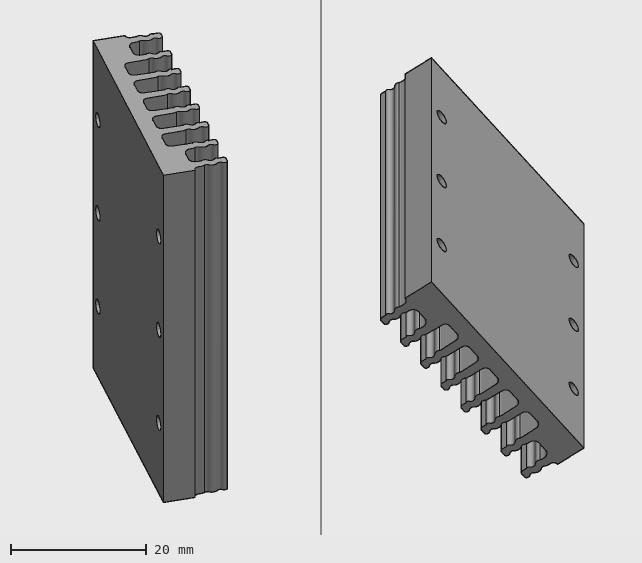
import cadquery as cq
import math

width = 37.35
depth = 10.15
length = 57.9

fin_count = 8
fin_span = 34.45
fin_pitch = fin_span / (fin_count - 1)

stem_half = 0.7
deep_root_half = 0.75
stem_top = 6.15

deep_floor = 2.6
deep_radius = 0.8
shallow_floor = 4.75
shallow_radius = 1.0
shoulder = 4.85
shoulder_radius = (width - fin_span) / 2 - stem_half

deep_gap = (deep_floor, deep_radius, deep_root_half)
shallow_gap = (shallow_floor, shallow_radius, stem_half)
outer_ledge = (shoulder, shoulder_radius, stem_half)

left_tip_half = 0.75
right_tip_half = stem_half
tip_radius = 0.4

left_groove = 0.4
left_flank_half = 0.65
left_lower_bulge = 0.85
left_upper_bulge = 0.8
left_lower_bulge_start = 6.5
left_lower_bulge_peak = 6.9
left_groove_bottom = 7.4
left_groove_middle = 7.9
left_groove_top = 8.4
left_upper_bulge_peak = 8.7
left_upper_bulge_end = 9.0

right_flank_half = 0.6
right_upper_groove = 0.4
right_bulge = 0.8
right_lower_groove = 0.45
right_tip_bulge_peak = 9.55
right_upper_groove_top = 9.3
right_upper_groove_middle = 8.9
right_bulge_top = 8.5
right_bulge_peak = 7.9
right_lower_groove_top = 7.2
right_lower_groove_middle = 6.9
right_lower_groove_bottom = 6.55

hole_diameter = 2.25
hole_depth = 3.5
hole_side_offset = 16.15
hole_spacing = 16.5
holes_per_side = 3


def quarter_round(outline, start, corner, end):
    """Round the square corner between start, where the outline is now, and end."""
    pull = 1 - math.cos(math.pi / 4)
    middle = tuple(c + pull * (s + e - 2 * c) for s, c, e in zip(start, corner, end))
    return outline.threePointArc(middle, end)


def left_side(outline, center, floor):
    """Climb the left side of a fin, from the floor to the tip."""
    height, radius, root_half = floor
    root = center - root_half
    flank = center - left_flank_half
    tip = center - left_tip_half

    fillet_start = (root - radius, height)
    outline = outline.lineTo(*fillet_start)
    outline = quarter_round(outline, fillet_start, (root, height), (root, height + radius))
    outline = outline.lineTo(center - stem_half, stem_top)

    outline = outline.lineTo(tip, left_lower_bulge_start)
    outline = outline.threePointArc(
        (center - left_lower_bulge, left_lower_bulge_peak), (flank, left_groove_bottom)
    )
    outline = outline.threePointArc((center - left_groove, left_groove_middle), (flank, left_groove_top))
    outline = outline.threePointArc(
        (center - left_upper_bulge, left_upper_bulge_peak), (tip, left_upper_bulge_end)
    )

    tip_start = (tip, depth - tip_radius)
    outline = outline.lineTo(*tip_start)
    return quarter_round(outline, tip_start, (tip, depth), (tip + tip_radius, depth))


def right_side(outline, center, floor):
    """Descend the right side of a fin, from the tip to the floor."""
    height, radius, root_half = floor
    root = center + root_half
    flank = center + right_flank_half
    tip = center + right_tip_half

    tip_start = (tip - tip_radius, depth)
    outline = outline.lineTo(*tip_start)
    outline = quarter_round(outline, tip_start, (tip, depth), (tip, depth - tip_radius))
    outline = outline.threePointArc((tip, right_tip_bulge_peak), (flank, right_upper_groove_top))

    outline = outline.threePointArc(
        (center + right_upper_groove, right_upper_groove_middle), (flank, right_bulge_top)
    )
    outline = outline.threePointArc(
        (center + right_bulge, right_bulge_peak), (flank, right_lower_groove_top)
    )
    outline = outline.threePointArc(
        (center + right_lower_groove, right_lower_groove_middle), (flank, right_lower_groove_bottom)
    )

    fillet_start = (root, height + radius)
    outline = outline.lineTo(center + stem_half, stem_top)
    outline = outline.lineTo(*fillet_start)
    return quarter_round(outline, fillet_start, (root, height), (root + radius, height))


def make_extrusion():
    """Base and fins as one profile, centred on Z = 0."""
    inner_gaps = [deep_gap] * (fin_count - 3)
    floors = [outer_ledge, shallow_gap, *inner_gaps, shallow_gap, outer_ledge]

    outline = cq.Workplane("XY", origin=(0, 0, -length / 2))
    outline = outline.moveTo(-width / 2, 0)
    for index in range(fin_count):
        center = -fin_span / 2 + index * fin_pitch
        outline = left_side(outline, center, floors[index])
        outline = right_side(outline, center, floors[index + 1])
    outline = outline.lineTo(width / 2, 0).close()
    return outline.extrude(length)


def make_holes():
    """Two columns of blind holes, as solids to cut away."""
    grid = cq.Workplane("XZ").rarray(2 * hole_side_offset, hole_spacing, 2, holes_per_side)
    return grid.circle(hole_diameter / 2).extrude(-hole_depth)


result = make_extrusion().cut(make_holes())